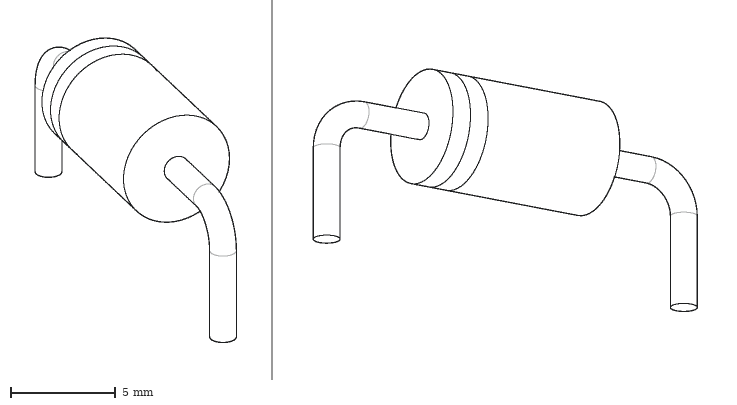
import cadquery as cq

lead_pitch = 20.32
lead_diameter = 1.3
body_length = 9.5
body_diameter = 5.6
band_offset = 1.0
band_width = 1.0
bend_radius = 2.0
lead_drop = 6.6

axis_height = body_diameter / 2
body_start = -body_length / 2
body_end = body_length / 2
band_start = body_start + band_offset
band_end = band_start + band_width
tip_height = axis_height - lead_drop


def body_section(start, end):
    """Solid cylinder of the diode body between two places along X."""
    return (
        cq.Workplane("YZ", origin=(start, 0, axis_height))
        .circle(body_diameter / 2)
        .extrude(end - start)
    )


def bent_lead(side):
    """Round wire from a body end face, bent down to its tip; side is -1 or +1."""
    tip_x = side * lead_pitch / 2
    bend_x = tip_x - side * bend_radius
    bend_z = axis_height - bend_radius
    wire_path = (
        cq.Workplane("XZ")
        .moveTo(tip_x, tip_height)
        .lineTo(tip_x, bend_z)
        .tangentArcPoint((bend_x, axis_height), relative=False)
        .lineTo(side * body_length / 2, axis_height)
    )
    return (
        cq.Workplane("XY", origin=(tip_x, 0, tip_height))
        .circle(lead_diameter / 2)
        .sweep(wire_path)
    )


cathode_end = body_section(body_start, band_start)
marking_band = body_section(band_start, band_end)
main_body = body_section(band_end, body_end)
leads = [bent_lead(side) for side in (-1, 1)]

result = cq.Compound.makeCompound([
    cathode_end.val(),
    marking_band.val(),
    main_body.val(),
    *[lead.val() for lead in leads],
])